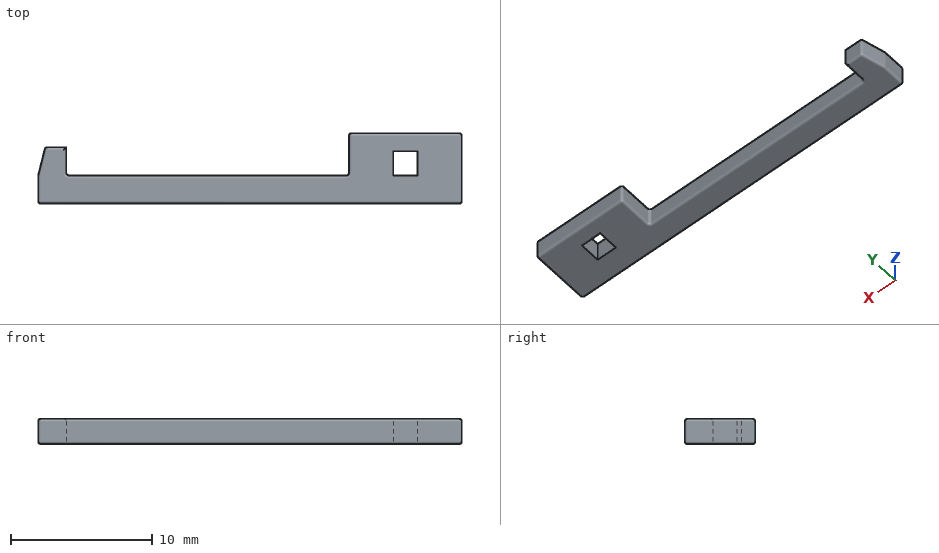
import cadquery as cq

length = 30.0
width = 5.0
thickness = 1.8

arm_width = 2.0
hook_reach = 4.0
hook_width = 2.0
hook_taper = 0.5

block_length = 8.0
block_start = length - block_length
hole_side = 1.7
hole_center_x = block_start + block_length / 2
hole_center_y = arm_width + hole_side / 2

edge_radius = 0.2


def make_profile_plate():
    """Arm with a tapered hook at one end and a wide block at the other."""
    outline = [
        (0, 0),
        (length, 0),
        (length, width),
        (block_start, width),
        (block_start, arm_width),
        (hook_width, arm_width),
        (hook_width, hook_reach),
        (hook_taper, hook_reach),
        (0, arm_width),
    ]
    return cq.Workplane("XY").polyline(outline).close().extrude(thickness)


def upright_edge_at(x, y):
    """Selector for the vertical edge of the plate standing at (x, y)."""
    return cq.selectors.NearestToPointSelector((x, y, thickness / 2))


def round_corners(plate):
    """Round the upright corners; the taper bend and the inner hook tip stay sharp."""
    rounded_corners = [
        (0, 0),
        (length, 0),
        (length, width),
        (block_start, width),
        (block_start, arm_width),
        (hook_width, arm_width),
        (hook_taper, hook_reach),
    ]
    for x, y in rounded_corners:
        plate = plate.edges("|Z").edges(upright_edge_at(x, y)).fillet(edge_radius)
    return plate


def round_rims(plate):
    """Round the outer rims of the top and bottom faces."""
    return plate.faces("<Z or >Z").edges().fillet(edge_radius)


def cut_square_hole(plate):
    """Cut the sharp-edged square hole through the block."""
    cutter = (
        cq.Workplane("XY")
        .center(hole_center_x, hole_center_y)
        .rect(hole_side, hole_side)
        .extrude(thickness)
    )
    return plate.cut(cutter)


plate = make_profile_plate()
plate = round_corners(plate)
plate = round_rims(plate)
result = cut_square_hole(plate)